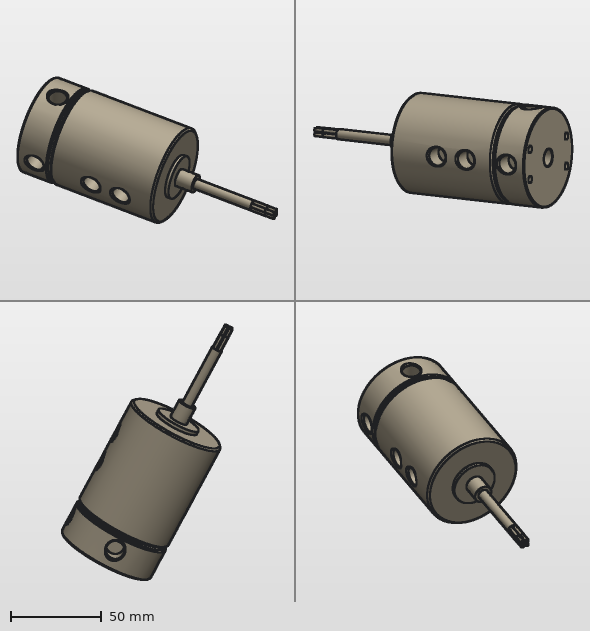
import cadquery as cq

TOTAL_LENGTH = 146.0
CAP_END = 19.0
BODY_START = 20.3
BODY_END = 84.1
FLANGE_END = 86.3
GLAND_END = 96.5
CABLE_END = 132.0
INSULATION_END = 140.8

BODY_DIAMETER = 55.5
NECK_DIAMETER = 44.4
FLANGE_DIAMETER = 25.0
GLAND_DIAMETER = 10.1
CABLE_DIAMETER = 5.8

CAP_FACE_CHAMFER = 0.6
CAP_REAR_CHAMFER = 0.9
BODY_CHAMFER = 1.2

SIDE_PORT_DIAMETER = 10.2
FACE_PORT_DIAMETER = 9.5
PORT_DEPTH = 11.7
SIDE_PORT_CHAMFER = 1.0
FACE_PORT_CHAMFER = 0.3
CAP_PORT_X = 11.0
BODY_PORT_X = 37.0
BODY_PORT_PITCH = 9.0
BODY_PORT_COUNT = 4

MOUNT_DIAMETER = 4.0
MOUNT_DEPTH = 7.3
MOUNT_HALF_SPAN_Y = 20.6
MOUNT_HALF_SPAN_Z = 8.5
DRILL_POINT_LENGTH = 1.2

WIRE_DIAMETER = 2.2
BARE_WIRE_DIAMETER = 2.0
WIRE_OFFSET = 1.3


def rod(start, end, diameter, y=0.0, z=0.0):
    """Round bar along X between two axial positions."""
    plane = cq.Workplane("YZ", origin=(start, y, z))
    return plane.circle(diameter / 2).extrude(end - start)


def cutter(profile, origin, direction):
    """Turned tool with a (radius, depth) profile, sunk from origin along direction."""
    across = (0, 0, 1) if direction[2] == 0 else (1, 0, 0)
    plane = cq.Plane(origin=origin, xDir=across, normal=cq.Vector(across).cross(cq.Vector(direction)))
    return cq.Workplane(plane).polyline(profile).close().revolve(360, (0, 0), (0, 1))


def port_cutter(origin, direction, diameter, chamfer):
    """Flat-bottomed blind port with a 45 degree chamfered mouth."""
    radius = diameter / 2
    profile = [(0, 0), (radius + chamfer, 0), (radius, chamfer), (radius, PORT_DEPTH), (0, PORT_DEPTH)]
    return cutter(profile, origin, direction)


def side_port_cutter(x, outward_y, outward_z):
    """Radial port whose mouth sits at the outer diameter."""
    surface = BODY_DIAMETER / 2
    origin = (x, outward_y * surface, outward_z * surface)
    return port_cutter(origin, (0, -outward_y, -outward_z), SIDE_PORT_DIAMETER, SIDE_PORT_CHAMFER)


def mount_hole_cutter(y, z):
    """Blind drilled hole with a conical bottom, entering the cap face."""
    radius = MOUNT_DIAMETER / 2
    profile = [(0, 0), (radius, 0), (radius, MOUNT_DEPTH), (0, MOUNT_DEPTH + DRILL_POINT_LENGTH)]
    return cutter(profile, (0, y, z), (1, 0, 0))


cap = rod(0, CAP_END, BODY_DIAMETER).faces("<X").chamfer(CAP_FACE_CHAMFER)
cap = cap.faces(">X").chamfer(CAP_REAR_CHAMFER)
body = rod(BODY_START, BODY_END, BODY_DIAMETER).faces("<X or >X").chamfer(BODY_CHAMFER)
result = cap.union(rod(CAP_END, BODY_START, NECK_DIAMETER)).union(body)
result = result.union(rod(BODY_END, FLANGE_END, FLANGE_DIAMETER))
result = result.union(rod(FLANGE_END, GLAND_END, GLAND_DIAMETER))
result = result.union(rod(GLAND_END, CABLE_END, CABLE_DIAMETER))

for y in (-WIRE_OFFSET, WIRE_OFFSET):
    for z in (-WIRE_OFFSET, WIRE_OFFSET):
        result = result.union(rod(CABLE_END, INSULATION_END, WIRE_DIAMETER, y, z))
        result = result.union(rod(INSULATION_END, TOTAL_LENGTH, BARE_WIRE_DIAMETER, y, z))

result = result.cut(port_cutter((0, 0, 0), (1, 0, 0), FACE_PORT_DIAMETER, FACE_PORT_CHAMFER))

for outward_y, outward_z in ((0, 1), (0, -1), (1, 0), (-1, 0)):
    result = result.cut(side_port_cutter(CAP_PORT_X, outward_y, outward_z))

for index in range(BODY_PORT_COUNT):
    port_x = BODY_PORT_X + index * BODY_PORT_PITCH
    outward_y = 1 if index % 2 == 0 else -1
    result = result.cut(side_port_cutter(port_x, outward_y, 0))

for y in (-MOUNT_HALF_SPAN_Y, MOUNT_HALF_SPAN_Y):
    for z in (-MOUNT_HALF_SPAN_Z, MOUNT_HALF_SPAN_Z):
        result = result.cut(mount_hole_cutter(y, z))